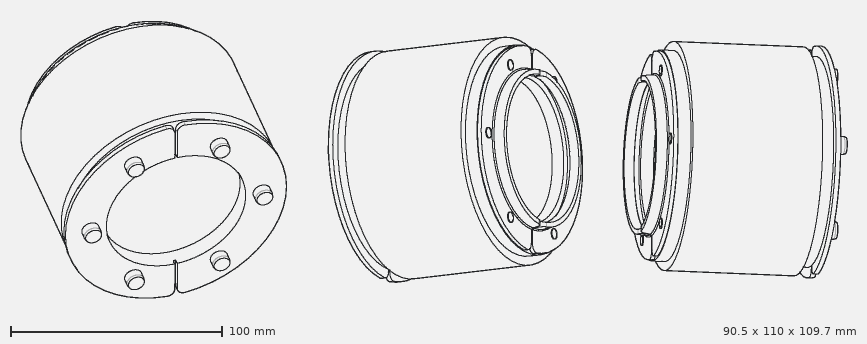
import cadquery as cq


plate_front_x = 5.8
sleeve_front_x = 7.8
body_front_x = 14.1
body_back_x = 76.9
sleeve_back_x = 83.2
plate_back_x = 85.6
overall_length = 90.5

body_radius = 54.3
sleeve_radius = 50.0
bore_radius = 34.6
front_plate_radius = 49.5
rear_plate_radius = 55.0

collar_edge_inner_radius = 35.3
collar_edge_outer_radius = 37.6
collar_taper = 0.5
inner_bend_radius = 3.0
outer_bend_radius = 0.7
collar_end_rounding = 3.0

split_gap = 1.2
plate_corner_radius = 3.6

screw_count = 6
screw_circle_radius = 42.6
screw_radius = 2.5
screw_end_height = 0.4
nut_radius = 4.3
nut_taper_length = 1.2
nut_taper_drop = 0.3


def turned(profile):
    """Revolve an outline drawn as axial station against radius about the main axis."""
    return profile.close().revolve(360, (0, 0, 0), (1, 0, 0))


def disc(radius, start_x, end_x):
    """Solid cylinder about the main axis."""
    return cq.Workplane("YZ", origin=(start_x, 0, 0)).circle(radius).extrude(end_x - start_x)


def seal_body():
    """Layered body on a longer sleeve, with the core set back from both sleeve ends."""
    sleeve = disc(sleeve_radius, sleeve_front_x, sleeve_back_x)
    front_recess = disc(bore_radius, sleeve_front_x, body_front_x)
    back_recess = disc(bore_radius, body_back_x, sleeve_back_x)
    return disc(body_radius, body_front_x, body_back_x).union(sleeve).cut(front_recess).cut(back_recess)


def front_ring():
    """Front plate with its middle bent forward into a collar that thickens toward its base."""
    base_outer_radius = collar_edge_outer_radius + collar_taper
    inner_bend_x = sleeve_front_x - inner_bend_radius
    outer_bend_x = plate_front_x - outer_bend_radius
    return turned(
        cq.Workplane("XY")
        .moveTo(0, collar_edge_inner_radius)
        .lineTo(inner_bend_x, collar_edge_inner_radius)
        .radiusArc((sleeve_front_x, collar_edge_inner_radius + inner_bend_radius), inner_bend_radius)
        .lineTo(sleeve_front_x, front_plate_radius)
        .lineTo(plate_front_x, front_plate_radius)
        .lineTo(plate_front_x, base_outer_radius + outer_bend_radius)
        .radiusArc((outer_bend_x, base_outer_radius), -outer_bend_radius)
        .lineTo(0, collar_edge_outer_radius)
    )


def rear_ring():
    """Flat rear plate, open over the bore."""
    plate = disc(rear_plate_radius, sleeve_back_x, plate_back_x)
    return plate.cut(disc(bore_radius, sleeve_back_x, plate_back_x))


def split_half(ring, outer_radius):
    """+Y half of a ring, with its outer corners at the split rounded."""
    span = 2 * overall_length
    half_space = cq.Workplane("XY").box(span, span, span, centered=(True, False, True))
    half = ring.intersect(half_space.translate((0, split_gap / 2, 0)))
    for side in (1, -1):
        corner = (plate_front_x, split_gap / 2, side * outer_radius)
        half = half.edges("|X").edges(cq.selectors.NearestToPointSelector(corner)).fillet(plate_corner_radius)
    return half


def both_halves(half):
    """A +Y half together with its mirror image."""
    return half.union(half.mirror("XZ"))


def screw():
    """Clamping screw on the main axis, running through both plates to a tapered nut."""
    nut = turned(
        cq.Workplane("XY")
        .moveTo(sleeve_back_x, 0)
        .lineTo(sleeve_back_x, nut_radius)
        .lineTo(overall_length - nut_taper_length, nut_radius)
        .lineTo(overall_length, nut_radius - nut_taper_drop)
        .lineTo(overall_length, 0)
    )
    return nut.union(disc(screw_radius, plate_front_x - screw_end_height, sleeve_back_x))


front_half = split_half(front_ring(), front_plate_radius)
front_half = front_half.edges("|Z and <X").fillet(collar_end_rounding)
rear_half = split_half(rear_ring(), rear_plate_radius)

result = seal_body().union(both_halves(front_half)).union(both_halves(rear_half))

clamping_screw = screw().translate((0, screw_circle_radius, 0))
for index in range(screw_count):
    angle = index * 360 / screw_count
    result = result.union(clamping_screw.rotate((0, 0, 0), (1, 0, 0), angle))